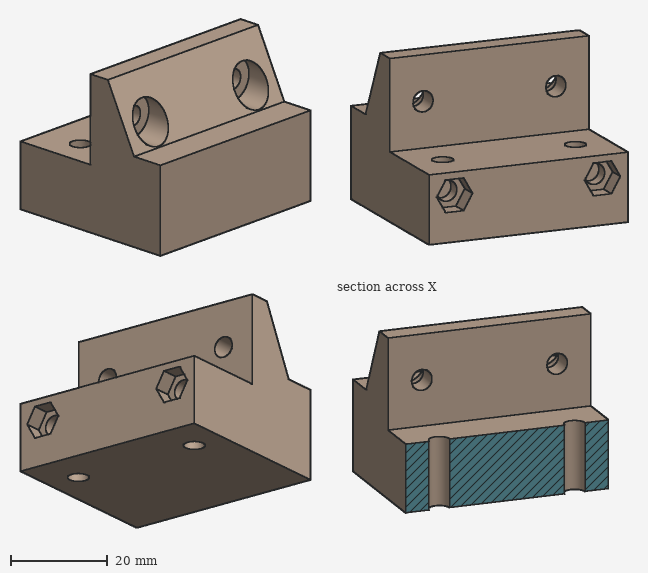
import cadquery as cq
import math

length = 40.0
width = 45.0
height = 35.0
step_height = 15.0
ledge_height = 20.0
wall_x = 20.0
wall_top_thickness = 5.0
slope_foot_x = 32.5

hole_diameter = 4.5
hole_edge_distance = 7.5
step_hole_x = wall_x / 2
wall_hole_z = (step_height + height) / 2
counterbore_diameter = 9.5
counterbore_floor_x = wall_x + wall_top_thickness

nut_across_flats = 7.0
nut_across_corners = nut_across_flats / math.cos(math.pi / 6)
nut_edge_distance = 5.8
nut_z = 10.0
nut_pocket_depth = 4.0
nut_hole_depth = 3.0


def mirrored_pair(edge_distance):
    """Y positions at the same distance from both ends of the block."""
    return (edge_distance, width - edge_distance)


def plane_facing_x(x):
    """Plane at the given X, with local axes along +Y and +Z and its normal along +X."""
    return cq.Workplane("YZ", origin=(x, 0, 0))


def make_body():
    profile = [
        (0, 0),
        (length, 0),
        (length, ledge_height),
        (slope_foot_x, ledge_height),
        (wall_x + wall_top_thickness, height),
        (wall_x, height),
        (wall_x, step_height),
        (0, step_height),
    ]
    return cq.Workplane("XZ").polyline(profile).close().extrude(-width)


def make_step_holes():
    points = [(step_hole_x, y) for y in mirrored_pair(hole_edge_distance)]
    return cq.Workplane("XY").pushPoints(points).circle(hole_diameter / 2).extrude(step_height)


def make_wall_holes():
    points = [(y, wall_hole_z) for y in mirrored_pair(hole_edge_distance)]
    holes = plane_facing_x(wall_x).pushPoints(points).circle(hole_diameter / 2).extrude(length - wall_x)
    counterbores = (
        plane_facing_x(counterbore_floor_x)
        .pushPoints(points)
        .circle(counterbore_diameter / 2)
        .extrude(length - counterbore_floor_x)
    )
    return holes.union(counterbores)


def make_nut_pockets():
    points = [(y, nut_z) for y in mirrored_pair(nut_edge_distance)]
    pockets = plane_facing_x(0).pushPoints(points).polygon(6, nut_across_corners).extrude(nut_pocket_depth)
    holes = plane_facing_x(nut_pocket_depth).pushPoints(points).circle(hole_diameter / 2).extrude(nut_hole_depth)
    return pockets.union(holes)


result = make_body().cut(make_step_holes()).cut(make_wall_holes()).cut(make_nut_pockets())